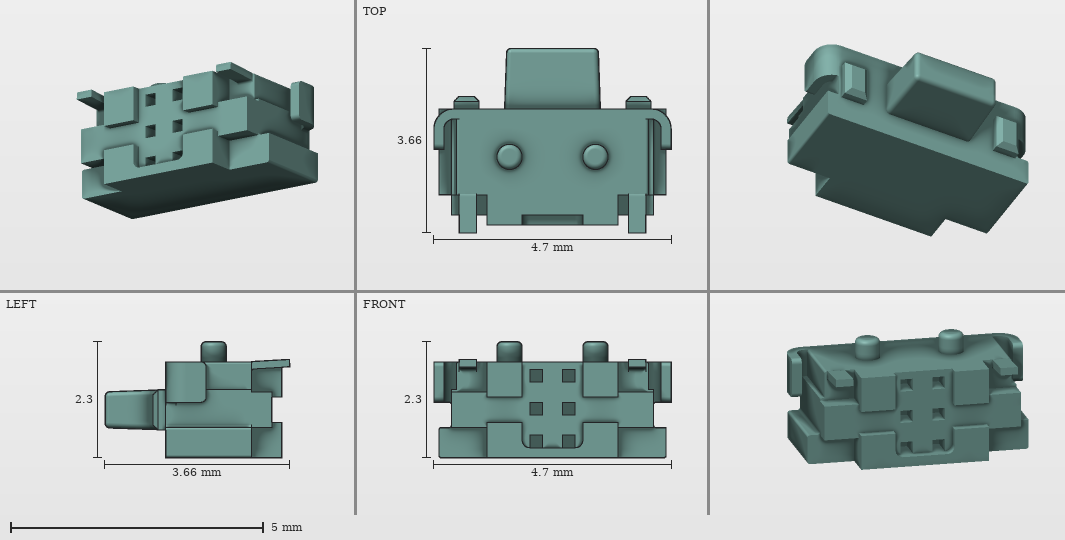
import cadquery as cq
import math

top_z = 1.9
base_top_z = 0.6
wing_top_z = 1.3
ledge_z = 1.35
flank_rear_y = -1.7
wall_y = -2.1
block_y = -2.3

base_half = 2.25
body_half = 2.0
upper_half = 1.9
wall_half = 1.3
edge_radius = 0.05

slot_half = 0.6
upper_block_bottom_z = 1.2
lower_block_top_z = 0.7
slot_floor_z = 0.2
slot_radius = 0.15

pocket_size = 0.25
pocket_depth = 0.5
pocket_pitch = 0.65
first_pocket_z = slot_floor_z + pocket_size / 2

hook_half = 2.35
hook_thickness = 0.2
hook_bottom_z = 1.1
hook_end_y = -0.8
hook_bend_radius = 0.4
hook_corner_radius = 0.1

pin_x = 0.85
pin_y = -0.95
pin_diameter = 0.5
pin_height = 0.4
pin_round = 0.1

actuator_z = 0.95
actuator_height = 0.8
button_width = 1.9
button_length = 1.2
button_draft = 2.0
button_round = 0.1
boss_x = 1.7
boss_width = 0.5
boss_length = 0.25
boss_chamfer = 0.1

lead_inner_x = 1.5
lead_outer_x = 1.85
lead_thickness = 0.15
lead_angle = math.radians(3.3)
lead_inner_radius = 0.05
lead_bend_z = 1.71
lead_tip_y = -2.46


def block(x_range, y_range, z_range):
    """Box given by its limits along each axis."""
    size = [high - low for low, high in (x_range, y_range, z_range)]
    corner = (x_range[0], y_range[0], z_range[0])
    return cq.Workplane("XY").box(*size, centered=False).translate(corner)


def centred_block(half_width, y_range, z_range):
    return block((-half_width, half_width), y_range, z_range)


def both_sides(solid):
    return solid.union(solid.mirror("YZ"))


def edges_near(solid, point):
    """Edges whose midpoints lie close to a point."""
    reach = 0.02
    low = tuple(value - reach for value in point)
    high = tuple(value + reach for value in point)
    return solid.edges(cq.selectors.BoxSelector(low, high))


def make_housing():
    """Stepped body ahead of the rear wall, with lengthwise edges rounded."""
    depth = (flank_rear_y, 0)
    base = centred_block(base_half, depth, (0, base_top_z))
    base = base.edges("|Y and (<X or <Z)").fillet(edge_radius)
    flanks = centred_block(body_half, depth, (base_top_z / 2, ledge_z))
    upper = centred_block(upper_half, depth, (base_top_z, top_z))
    upper = upper.edges("|Y and >Z").fillet(edge_radius)
    housing = base.union(flanks).union(upper)
    for side in (-1, 1):
        corner = (side * body_half, flank_rear_y / 2, base_top_z)
        housing = edges_near(housing, corner).fillet(edge_radius)
    return housing


def make_rear_wall():
    """Rear wall, its side wings and the blocks standing on it."""
    wall_depth = (wall_y, flank_rear_y)
    block_depth = (block_y, wall_y)
    wings = centred_block(body_half, wall_depth, (base_top_z, wing_top_z))
    wall = centred_block(wall_half, wall_depth, (0, top_z))
    upper_block = block((slot_half, wall_half), block_depth, (upper_block_bottom_z, top_z))
    lower_block = centred_block(wall_half, block_depth, (0, lower_block_top_z))
    slot = centred_block(slot_half, block_depth, (slot_floor_z, top_z))
    slot = slot.edges("|Y and <Z").fillet(slot_radius)
    return wings.union(wall).union(both_sides(upper_block)).union(lower_block.cut(slot))


def make_pockets():
    pockets = cq.Workplane("XY")
    for column in (-0.5, 0.5):
        for row in range(3):
            centre = (column * pocket_pitch, wall_y + pocket_depth / 2, first_pocket_z + row * pocket_pitch)
            pocket = cq.Workplane("XY").box(pocket_size, pocket_depth, pocket_size)
            pockets = pockets.add(pocket.translate(centre))
    return pockets.combine()


def make_hook():
    """Right-hand half of the strip with its hook."""
    bend_x = hook_half - hook_bend_radius
    inner_x = hook_half - hook_thickness
    inner_radius = hook_bend_radius - hook_thickness
    hook = (
        cq.Workplane("XY", origin=(0, 0, hook_bottom_z))
        .lineTo(bend_x, 0)
        .radiusArc((hook_half, -hook_bend_radius), hook_bend_radius)
        .lineTo(hook_half, hook_end_y)
        .lineTo(inner_x, hook_end_y)
        .lineTo(inner_x, -hook_bend_radius)
        .radiusArc((bend_x, -hook_thickness), -inner_radius)
        .lineTo(0, -hook_thickness)
        .close()
        .extrude(top_z - hook_bottom_z)
    )
    return hook.faces("<Y").edges("|X").fillet(hook_corner_radius)


def make_pin():
    pin = cq.Workplane("XY", origin=(pin_x, pin_y, top_z)).circle(pin_diameter / 2).extrude(pin_height)
    return pin.faces(">Z").edges().fillet(pin_round)


def make_button():
    """Tapered button with all outer edges rounded."""
    button = (
        cq.Workplane("XZ", origin=(0, 0, actuator_z))
        .rect(button_width, actuator_height)
        .extrude(-button_length, taper=button_draft)
    )
    return button.edges("not <Y").fillet(button_round)


def make_boss():
    boss = (
        cq.Workplane("XZ", origin=(boss_x, 0, actuator_z))
        .rect(boss_width, actuator_height)
        .extrude(-boss_length)
    )
    return boss.faces(">Y").edges().chamfer(boss_chamfer)


def make_lead():
    """Right-hand lead: a bend rising out of the body, then a straight sloping tip."""
    bend_y = flank_rear_y - lead_inner_radius
    outer_radius = lead_inner_radius + lead_thickness
    bend_end = math.pi / 2 - lead_angle

    def on_bend(radius, angle):
        return (bend_y + radius * math.cos(angle), lead_bend_z + radius * math.sin(angle))

    lower_start_y, lower_start_z = on_bend(lead_inner_radius, bend_end)
    upper_start_y, upper_start_z = on_bend(outer_radius, bend_end)
    tip_run = lower_start_y - lead_tip_y
    tip_rise = tip_run * math.tan(lead_angle)

    return (
        cq.Workplane("YZ", origin=(lead_inner_x, 0, 0))
        .moveTo(*on_bend(lead_inner_radius, 0))
        .radiusArc((lower_start_y, lower_start_z), -lead_inner_radius)
        .lineTo(lower_start_y - tip_run, lower_start_z + tip_rise)
        .lineTo(upper_start_y - tip_run, upper_start_z + tip_rise)
        .lineTo(upper_start_y, upper_start_z)
        .radiusArc(on_bend(outer_radius, 0), outer_radius)
        .close()
        .extrude(lead_outer_x - lead_inner_x)
    )


result = make_housing().union(both_sides(make_hook()))
for side in (-1, 1):
    hook_corner = (side * body_half, -hook_thickness / 2, hook_bottom_z)
    result = edges_near(result, hook_corner).fillet(edge_radius)

result = result.union(make_rear_wall()).cut(make_pockets())
for feature in (make_pin(), make_button(), make_boss(), make_lead()):
    result = result.union(both_sides(feature))